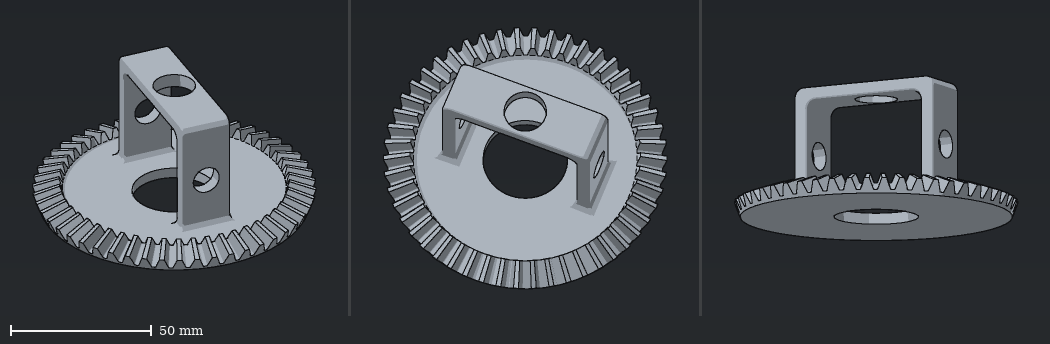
import cadquery as cq
import math

OUTER_DIAMETER = 100.9
TEETH = 50
PITCH_ANGLE = math.radians(69)
PRESSURE_ANGLE = math.radians(20)
FACE_WIDTH = 10.0
ROOT_HEIGHT = 1.2
MODULE = OUTER_DIAMETER / (TEETH + 2 * math.cos(PITCH_ANGLE))
ADDENDUM = MODULE
DEDENDUM = 1.2 * MODULE
ROOT_FILLET = 0.5
CUTTER_OVERRUN = 0.1

WEB_THICKNESS = 4.0
WEB_RADIUS = 37.6
RIM_FILLET = 2.0
BORE_DIAMETER = 30.0

BRACKET_LENGTH = 56.5
BRACKET_WIDTH = 18.9
BRACKET_TOP = 47.4
BRACKET_WALL = 5.0
OUTER_CORNER = 3.5
INNER_CORNER = 3.5
EDGE_ROUND = 1.0
FOOT_FILLET = 3.6
TOP_HOLE_DIAMETER = 15.0
SIDE_HOLE_DIAMETER = 10.0
SIDE_HOLE_HEIGHT = 23.8

TOLERANCE = 0.01

sin_pitch = math.sin(PITCH_ANGLE)
cos_pitch = math.cos(PITCH_ANGLE)
pitch_radius = MODULE * TEETH / 2
pitch_height = ROOT_HEIGHT + DEDENDUM * sin_pitch
cone_distance = pitch_radius / sin_pitch
apex_height = pitch_height + cone_distance * cos_pitch
inner_scale = 1 - FACE_WIDTH / cone_distance


def cone_point(offset, scale):
    """Radius and height of a point offset along the back cone, scaled towards the apex."""
    radius = pitch_radius + offset * cos_pitch
    depth = apex_height - pitch_height - offset * sin_pitch
    return radius * scale, apex_height - depth * scale


def gear_blank():
    tip_outer = cone_point(ADDENDUM, 1)
    tip_inner = cone_point(ADDENDUM, inner_scale)
    root_inner = cone_point(-DEDENDUM, inner_scale)
    base_radius = tip_outer[0] - tip_outer[1] / math.tan(PITCH_ANGLE)
    arc_angle = PITCH_ANGLE / 2
    arc_middle = (
        WEB_RADIUS + RIM_FILLET * math.sin(arc_angle),
        WEB_THICKNESS + RIM_FILLET * (1 - math.cos(arc_angle)),
    )
    return (
        cq.Workplane("XZ")
        .lineTo(base_radius, 0)
        .lineTo(*tip_outer)
        .lineTo(*tip_inner)
        .lineTo(*root_inner)
        .threePointArc(arc_middle, (WEB_RADIUS, WEB_THICKNESS))
        .lineTo(0, WEB_THICKNESS)
        .close()
        .revolve(360, (0, 0, 0), (0, 1, 0))
    )


def gap_section(scale):
    """Outline of one tooth gap, square to the pitch cone and scaled about the apex.

    The flanks and the filleted root are one smooth curve.
    """
    plane = cq.Plane(
        origin=(pitch_radius * scale, 0, apex_height - cone_distance * cos_pitch * scale),
        xDir=(0, 1, 0),
        normal=(sin_pitch, 0, -cos_pitch),
    )
    slope = math.tan(PRESSURE_ANGLE)
    half_pitch_gap = math.pi * MODULE / 4
    top = 2 * ADDENDUM
    top_half = half_pitch_gap + top * slope
    root_half = half_pitch_gap - DEDENDUM * slope
    setback = ROOT_FILLET * math.tan((math.pi / 2 - PRESSURE_ANGLE) / 2)
    flat_half = root_half - setback
    flank_half = root_half + setback * math.sin(PRESSURE_ANGLE)
    flank_end = -DEDENDUM + setback * math.cos(PRESSURE_ANGLE)
    right_side = [(flat_half, -DEDENDUM), (flank_half, flank_end), (top_half, top)]
    left_side = [(-across, along) for across, along in reversed(right_side)]
    points = [(across * scale, along * scale) for across, along in left_side + right_side]
    root_direction = (1, 0)
    up_flank = (math.sin(PRESSURE_ANGLE), math.cos(PRESSURE_ANGLE))
    down_flank = (up_flank[0], -up_flank[1])
    tangents = [down_flank] * 2 + [root_direction] * 2 + [up_flank] * 2
    outline = cq.Workplane(plane).moveTo(*points[0]).spline(points, tangents).close()
    return outline.val()


def tooth_gaps():
    sections = [gap_section(inner_scale - CUTTER_OVERRUN), gap_section(1 + CUTTER_OVERRUN)]
    cutter = cq.Solid.makeLoft(sections, True)
    pitch = 360 / TEETH
    return [cutter.rotate((0, 0, 0), (0, 0, 1), (i + 0.5) * pitch) for i in range(TEETH)]


def bracket():
    """Return a U-shaped bracket on a plate as thick as the web, with filleted feet and rounded edges."""
    height = BRACKET_TOP - WEB_THICKNESS
    inner_length = BRACKET_LENGTH - 2 * BRACKET_WALL
    placed = cq.Workplane("XY", origin=(0, 0, WEB_THICKNESS))
    on_base = (True, True, False)
    outside = placed.box(BRACKET_LENGTH, BRACKET_WIDTH, height, centered=on_base)
    outside = outside.edges(">Z and |Y").fillet(OUTER_CORNER)
    inside = placed.box(inner_length, BRACKET_WIDTH, height - BRACKET_WALL, centered=on_base)
    inside = inside.edges(">Z and |Y").fillet(INNER_CORNER)
    plate = cq.Workplane("XY").circle(WEB_RADIUS - RIM_FILLET).extrude(WEB_THICKNESS)
    body = plate.union(outside.cut(inside))
    feet = body.edges(
        cq.selectors.BoxSelector(
            (-BRACKET_LENGTH, -BRACKET_WIDTH, WEB_THICKNESS - TOLERANCE),
            (BRACKET_LENGTH, BRACKET_WIDTH, WEB_THICKNESS + TOLERANCE),
        )
    )
    body = feet.edges("%LINE").fillet(FOOT_FILLET)
    side_edges = [
        edge
        for edge in body.edges().vals()
        if abs(abs(edge.Center().y) - BRACKET_WIDTH / 2) < TOLERANCE
        and edge.BoundingBox().zmax > WEB_THICKNESS + FOOT_FILLET + TOLERANCE
    ]
    return body.newObject(side_edges).fillet(EDGE_ROUND)


def bore_and_holes():
    bore = cq.Workplane("XY").circle(BORE_DIAMETER / 2).extrude(WEB_THICKNESS)
    top_hole = (
        cq.Workplane("XY", origin=(0, 0, BRACKET_TOP - BRACKET_WALL))
        .circle(TOP_HOLE_DIAMETER / 2)
        .extrude(BRACKET_WALL)
    )
    side_holes = (
        cq.Workplane("YZ", origin=(0, 0, SIDE_HOLE_HEIGHT))
        .circle(SIDE_HOLE_DIAMETER / 2)
        .extrude(BRACKET_LENGTH / 2, both=True)
    )
    return bore.union(top_hole).union(side_holes)


gear = gear_blank().val().cut(*tooth_gaps())
result = cq.Workplane(gear).union(bracket()).cut(bore_and_holes())